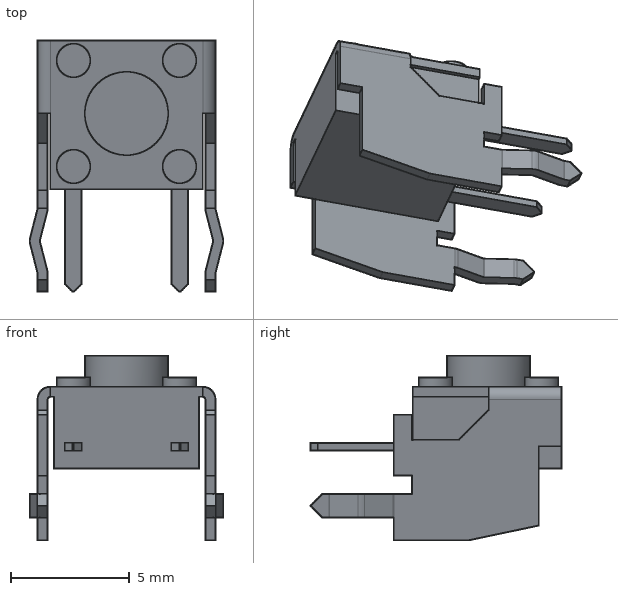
import cadquery as cq
import math


depth = 10.6
back_y = 3.08
tip_y = back_y - depth
flange_top = 6.49
post_top = 6.88
button_top = 7.8

sheet = 0.43
bend_inner = 0.11
bend_outer = bend_inner + sheet
bend_middle = bend_inner + sheet / 2

body_width = 6.13
body_bottom = 3.03
flange_width = 6.43
front_y = back_y - 6.29

button_radius = 1.76
post_radius = 0.71
post_offset = 2.24

pin_offset = 2.25
pin_width = 0.7
pin_thickness = 0.32
pin_middle_z = 3.95
pin_tip_chamfer = 0.32

bracket_outer_x = flange_width / 2 + bend_outer
bracket_inner_x = bracket_outer_x - sheet
bend_front_y = 0.0
bend_bottom = flange_top - bend_outer
shoulder_z = 5.5
ledge_z = 4.24
ledge_start_y = bend_front_y - (shoulder_z - ledge_z)
tab_back_y = back_y - 6.32
bracket_front_y = back_y - 7.09
tab_top = 5.31
tab_bottom = 2.73
back_step_y = back_y - 0.96
back_step_z = 3.96
back_bottom_z = 0.63
slope_end_y = back_y - 3.92

prong_height = 1.0
prong_top = 1.96
prong_middle_z = prong_top - prong_height / 2
prong_bulge = 0.33
prong_angle = math.radians(14.3)


def make_housing_block():
    """Block under a wider flange that is one sheet thick."""
    length = back_y - front_y
    middle_y = (back_y + front_y) / 2
    block = (
        cq.Workplane("XY", origin=(0, middle_y, body_bottom))
        .rect(body_width, length)
        .extrude(flange_top - body_bottom)
    )
    flange = (
        cq.Workplane("XY", origin=(0, middle_y, flange_top))
        .rect(flange_width, length)
        .extrude(-sheet)
    )
    return block.union(flange)


def make_pin(side):
    """Flat terminal with a pointed end, standing out from the housing front."""
    length = front_y - tip_y
    return (
        cq.Workplane("XY", origin=(side * pin_offset, front_y - length / 2, pin_middle_z))
        .box(pin_width, length, pin_thickness)
        .edges("|Z and <Y")
        .chamfer(pin_tip_chamfer)
    )


def make_bracket_plate():
    """Upright plate of the -X bracket, cut to its side outline."""
    outline = [
        (back_y, bend_bottom),
        (bend_front_y, bend_bottom),
        (bend_front_y, shoulder_z),
        (ledge_start_y, ledge_z),
        (tab_back_y, ledge_z),
        (tab_back_y, tab_top),
        (bracket_front_y, tab_top),
        (bracket_front_y, tab_bottom),
        (tab_back_y, tab_bottom),
        (tab_back_y, prong_top),
        (bracket_front_y, prong_top),
        (bracket_front_y, 0),
        (slope_end_y, 0),
        (back_step_y, back_bottom_z),
        (back_step_y, back_step_z),
        (back_y, back_step_z),
    ]
    plane = cq.Workplane("YZ").workplane(offset=-bracket_outer_x)
    return plane.polyline(outline).close().extrude(sheet)


def make_bracket_bend():
    """Quarter-round bend joining the -X plate to the flange edge."""
    length = back_y - bend_front_y
    axis_point = (-flange_width / 2, back_y, bend_bottom)
    ring = (
        cq.Workplane("XZ", origin=axis_point)
        .circle(bend_outer)
        .circle(bend_inner)
        .extrude(length)
    )
    quarter = (
        cq.Workplane("XZ", origin=axis_point)
        .rect(-bend_outer, bend_outer, centered=False)
        .extrude(length)
    )
    return ring.intersect(quarter)


def make_prong():
    """Kinked, pointed prong of the -X bracket."""
    bend_x = bend_middle * (1 - math.cos(prong_angle))
    bend_y = bend_middle * math.sin(prong_angle)
    straight_x = prong_bulge - 2 * bend_x
    straight_y = straight_x / math.tan(prong_angle)
    plate_x = (bracket_inner_x + bracket_outer_x) / -2
    sloped_x = plate_x - bend_x
    peak_x = sloped_x - straight_x
    root_y = bracket_front_y + sheet
    out_start_y = bracket_front_y - bend_y
    out_end_y = out_start_y - straight_y
    back_start_y = out_end_y - 2 * bend_y
    back_end_y = back_start_y - straight_y

    path = (
        cq.Workplane("XY", origin=(0, 0, prong_middle_z))
        .moveTo(plate_x, root_y)
        .lineTo(plate_x, bracket_front_y)
        .tangentArcPoint((sloped_x, out_start_y), relative=False)
        .lineTo(peak_x, out_end_y)
        .tangentArcPoint((peak_x, back_start_y), relative=False)
        .lineTo(sloped_x, back_end_y)
        .tangentArcPoint((plate_x, back_end_y - bend_y), relative=False)
        .lineTo(plate_x, tip_y)
    )
    strip = (
        cq.Workplane("XZ", origin=(plate_x, root_y, prong_middle_z))
        .rect(sheet, prong_height)
        .sweep(path)
    )

    half_height = prong_height / 2
    point_outline = [
        (root_y, prong_top),
        (tip_y + half_height, prong_top),
        (tip_y, prong_middle_z),
        (tip_y + half_height, prong_top - prong_height),
        (root_y, prong_top - prong_height),
    ]
    pointed_slab = (
        cq.Workplane("YZ")
        .polyline(point_outline)
        .close()
        .extrude(-bracket_outer_x - bend_outer)
    )
    return strip.intersect(pointed_slab)


def make_bracket(side):
    """Side bracket; side is -1 for -X and +1 for +X."""
    bracket = make_bracket_plate().union(make_bracket_bend()).union(make_prong())
    if side > 0:
        bracket = bracket.mirror("YZ")
    return bracket


def make_housing():
    """Housing block in one piece with its two pins and two side brackets."""
    housing = make_housing_block()
    for side in (-1, 1):
        housing = housing.union(make_pin(side)).union(make_bracket(side))
    return housing.solids()


def make_button():
    """Round plunger standing on the flange."""
    top_face = cq.Workplane("XY", origin=(0, 0, flange_top))
    return top_face.circle(button_radius).extrude(button_top - flange_top)


def make_post(side_x, side_y):
    """Low round post standing on one corner of the flange."""
    return (
        cq.Workplane("XY", origin=(side_x * post_offset, side_y * post_offset, flange_top))
        .circle(post_radius)
        .extrude(post_top - flange_top)
    )


housing = make_housing()
button = make_button()
posts = [make_post(side_x, side_y) for side_x in (-1, 1) for side_y in (-1, 1)]

result = cq.Compound.makeCompound([
    housing.val(),
    button.val(),
    *[post.val() for post in posts],
])